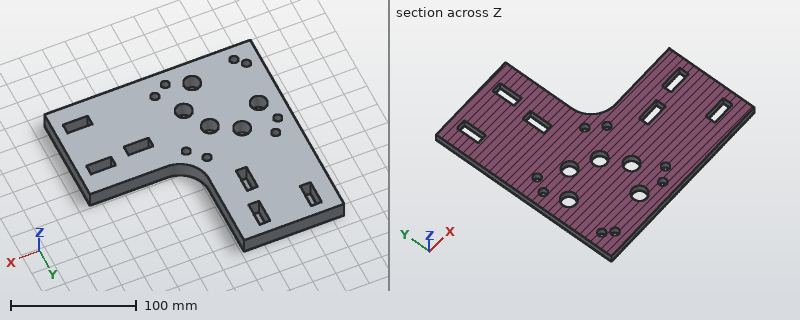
import cadquery as cq

side_length = 180.0
arm_width = 87.5
thickness = 15.0
inner_corner_radius = 25.0

slot_length = 21.5
slot_width = 9.0
slot_centers = [(20.0, 160.0), (65.0, 160.0), (60.0, 125.0)]

small_hole_diameter = 7.0
small_hole_columns = (20.0, 80.0)
small_hole_rows = (12.5, 92.5)
small_hole_centers = [(x, y) for x in small_hole_columns for y in small_hole_rows]

large_hole_diameter = 14.0
diagonal_hole_center = (65.0, 65.0)
paired_hole_centers = [(20.0, 60.0), (42.5, 77.5)]


def mirrored(points):
    """Points reflected about the diagonal X = Y."""
    return [(y, x) for x, y in points]


def through_holes(centers, diameter):
    return cq.Workplane("XY").pushPoints(centers).circle(diameter / 2).extrude(thickness)


def through_slots(centers, x_size, y_size):
    return cq.Workplane("XY").pushPoints(centers).rect(x_size, y_size).extrude(thickness)


def l_plate():
    outline = (
        cq.Workplane("XY")
        .lineTo(side_length, 0)
        .lineTo(side_length, arm_width)
        .lineTo(arm_width + inner_corner_radius, arm_width)
        .radiusArc((arm_width, arm_width + inner_corner_radius), inner_corner_radius)
        .lineTo(arm_width, side_length)
        .lineTo(0, side_length)
        .close()
    )
    return outline.extrude(thickness)


large_hole_centers = [diagonal_hole_center] + paired_hole_centers + mirrored(paired_hole_centers)

result = (
    l_plate()
    .cut(through_slots(slot_centers, slot_width, slot_length))
    .cut(through_slots(mirrored(slot_centers), slot_length, slot_width))
    .cut(through_holes(small_hole_centers + mirrored(small_hole_centers), small_hole_diameter))
    .cut(through_holes(large_hole_centers, large_hole_diameter))
)